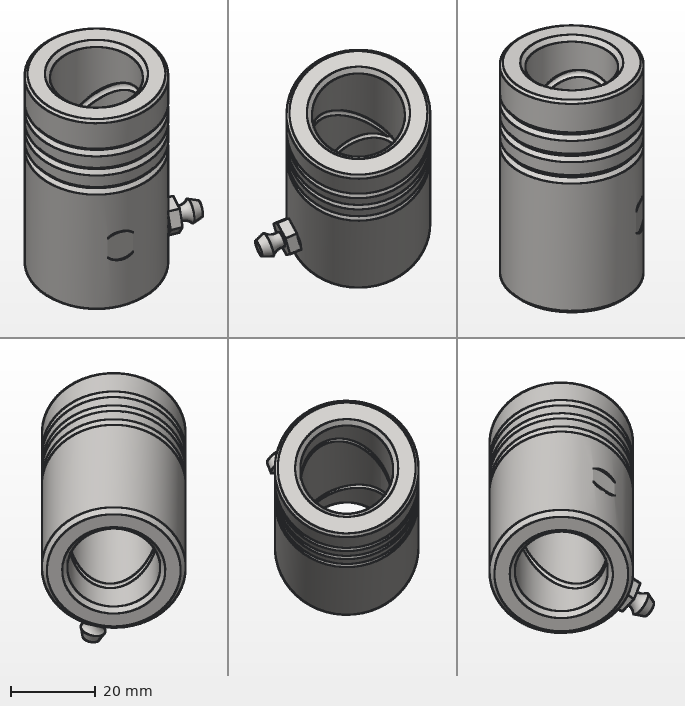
import cadquery as cq
import math

LENGTH = 60.0
OUTER_DIAMETER = 34.0
OUTER_RADIUS = OUTER_DIAMETER / 2
OVERALL_DEPTH = 43.0
BORE_RADIUS = 11.0
TOP_CHAMFER = 0.7
BOTTOM_CHAMFER = 1.2
BORE_CHAMFER = 1.2

GROOVE_DEPTH = 1.1
GROOVE_FLOOR = 0.25
FIRST_GROOVE_DROP = 8.7
GROOVE_PITCH = 6.0
GROOVE_COUNT = 3

OIL_GROOVE_RISE = LENGTH / 6
OIL_GROOVE_RADIUS = 0.95

SPOT_RADIUS = 4.4
SPOT_DEPTH = 0.3
SPOT_HEIGHT = LENGTH / 3

NIPPLE_HEIGHT = LENGTH / 6
HEX_ACROSS_FLATS = 8.0
HEX_TURN = -3.5
HEX_THICKNESS = 3.0
HEX_START = OUTER_RADIUS
HEX_END = HEX_START + HEX_THICKNESS
STEM_RADIUS = 3.5
STEM_LENGTH = 4.0
NECK_RADIUS = 1.85
NECK_END = 21.0
HEAD_RADIUS = 3.0
HEAD_WIDEST = 23.5
TIP_RADIUS = 2.05
TIP_END = OVERALL_DEPTH - OUTER_RADIUS


def sleeve_blank():
    """Chamfered tube turned about Z."""
    return (
        cq.Workplane("XZ")
        .moveTo(BORE_RADIUS, BORE_CHAMFER)
        .lineTo(BORE_RADIUS + BORE_CHAMFER, 0)
        .lineTo(OUTER_RADIUS - BOTTOM_CHAMFER, 0)
        .lineTo(OUTER_RADIUS, BOTTOM_CHAMFER)
        .lineTo(OUTER_RADIUS, LENGTH - TOP_CHAMFER)
        .lineTo(OUTER_RADIUS - TOP_CHAMFER, LENGTH)
        .lineTo(BORE_RADIUS + BORE_CHAMFER, LENGTH)
        .lineTo(BORE_RADIUS, LENGTH - BORE_CHAMFER)
        .close()
        .revolve(360, (0, 0, 0), (0, 1, 0))
    )


def outer_groove(top):
    """Ring with 45-degree flanks and a narrow floor, its upper edge at height top."""
    floor_radius = OUTER_RADIUS - GROOVE_DEPTH
    floor_top = top - GROOVE_DEPTH
    floor_bottom = floor_top - GROOVE_FLOOR
    return (
        cq.Workplane("XZ")
        .moveTo(OUTER_RADIUS, top)
        .lineTo(floor_radius, floor_top)
        .lineTo(floor_radius, floor_bottom)
        .lineTo(OUTER_RADIUS, floor_bottom - GROOVE_DEPTH)
        .close()
        .revolve(360, (0, 0, 0), (0, 1, 0))
    )


def upper_oil_groove():
    """Sloping round-section ring in the bore wall, kept to the upper half of the sleeve."""
    middle = LENGTH / 2 + OIL_GROOVE_RISE
    slope_length = math.hypot(BORE_RADIUS, OIL_GROOVE_RISE)
    slope = (0, BORE_RADIUS, OIL_GROOVE_RISE)
    ring_plane = cq.Plane((0, 0, middle), xDir=slope, normal=(0, -OIL_GROOVE_RISE, BORE_RADIUS))
    path = cq.Workplane(ring_plane).ellipse(slope_length, BORE_RADIUS)
    section_plane = cq.Plane((0, BORE_RADIUS, middle + OIL_GROOVE_RISE), xDir=slope, normal=(1, 0, 0))
    ring = cq.Workplane(section_plane).circle(OIL_GROOVE_RADIUS).sweep(path)
    upper_half = (
        cq.Workplane("XY", origin=(0, 0, LENGTH / 2))
        .circle(OUTER_RADIUS)
        .extrude(LENGTH / 2)
    )
    return ring.intersect(upper_half)


def side_spot():
    """Cutter for the shallow round flat facing +X."""
    return (
        cq.Workplane("YZ", origin=(OUTER_RADIUS - SPOT_DEPTH, 0, SPOT_HEIGHT))
        .circle(SPOT_RADIUS)
        .extrude(SPOT_DEPTH)
    )


def nipple_stem():
    """Plain stem that sits in the matching hole of the sleeve."""
    return (
        cq.Workplane("XZ", origin=(0, HEX_START, NIPPLE_HEIGHT))
        .circle(STEM_RADIUS)
        .extrude(STEM_LENGTH)
    )


def make_sleeve():
    body = sleeve_blank()
    for index in range(GROOVE_COUNT):
        body = body.cut(outer_groove(LENGTH - FIRST_GROOVE_DROP - index * GROOVE_PITCH))
    upper_groove = upper_oil_groove()
    lower_groove = upper_groove.mirror("XY", (0, 0, LENGTH / 2))
    body = body.cut(upper_groove).cut(lower_groove)
    return body.cut(side_spot()).cut(nipple_stem())


def nipple_hexagon():
    corner_diameter = HEX_ACROSS_FLATS / math.cos(math.pi / 6)
    return (
        cq.Workplane("XZ", origin=(0, HEX_END, NIPPLE_HEIGHT))
        .polygon(6, corner_diameter)
        .extrude(HEX_THICKNESS)
        .rotate((0, 0, NIPPLE_HEIGHT), (0, 1, NIPPLE_HEIGHT), -HEX_TURN)
    )


def nipple_head():
    """Neck flaring in a tangent arc to the widest ring, then tapering to a flat tip."""
    return (
        cq.Workplane("XY", origin=(0, 0, NIPPLE_HEIGHT))
        .moveTo(0, HEX_END)
        .lineTo(NECK_RADIUS, HEX_END)
        .lineTo(NECK_RADIUS, NECK_END)
        .tangentArcPoint((HEAD_RADIUS, HEAD_WIDEST), relative=False)
        .lineTo(TIP_RADIUS, TIP_END)
        .lineTo(0, TIP_END)
        .close()
        .revolve(360, (0, 0, 0), (0, 1, 0))
    )


def make_nipple():
    return nipple_stem().union(nipple_hexagon()).union(nipple_head())


sleeve = make_sleeve()
nipple = make_nipple()

result = cq.Compound.makeCompound([sleeve.val(), nipple.val()])